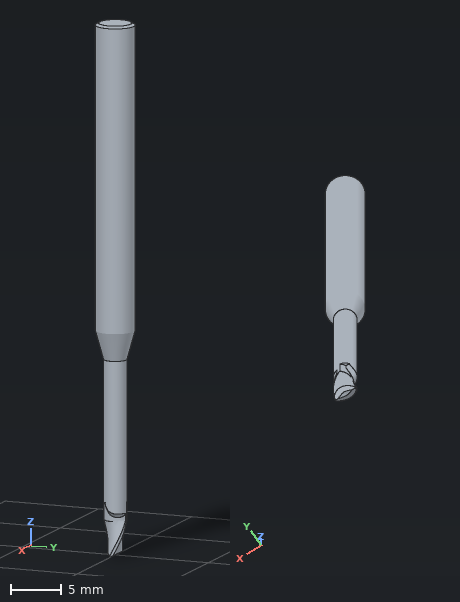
import cadquery as cq
import math

TOTAL_LENGTH = 54
SHANK_DIAMETER = 4.0
NECK_DIAMETER = 2.4
SHANK_RADIUS = SHANK_DIAMETER / 2
NECK_RADIUS = NECK_DIAMETER / 2

CONE_BOTTOM = 19.85
CONE_TOP = 22.8
CHAMFER_HEIGHT = 0.2
CHAMFER_WIDTH = 0.3

BLADE_THICKNESS = 1.45
LAND_WIDTH = 0.3
HALF_THICKNESS = BLADE_THICKNESS / 2
HALF_LAND = LAND_WIDTH / 2
LAND_REACH = math.sqrt(NECK_RADIUS**2 - HALF_LAND**2)
HELIX_HEIGHT = 3.6
HELIX_TWIST = 90
WEB_OVERLAP = 0.1
WEB_BOTTOM = HELIX_HEIGHT - WEB_OVERLAP

RUNOUT_START = 4.0
RUNOUT_END = 5.4
RUNOUT_ANGLE = 45
RUNOUT_RADIUS = 0.95
RUNOUT_OFFSET = 0.25
END_RELIEF_HEIGHT = 0.65
DISH_DEPTH = 0.15
DISH_RADIUS = 0.85


def make_shank():
    """Chamfered cylindrical shank with a cone down to the neck."""
    return (
        cq.Workplane("XZ")
        .moveTo(0, CONE_BOTTOM)
        .lineTo(NECK_RADIUS, CONE_BOTTOM)
        .lineTo(SHANK_RADIUS, CONE_TOP)
        .lineTo(SHANK_RADIUS, TOTAL_LENGTH - CHAMFER_HEIGHT)
        .lineTo(SHANK_RADIUS - CHAMFER_WIDTH, TOTAL_LENGTH)
        .lineTo(0, TOTAL_LENGTH)
        .close()
        .revolve(360, (0, 0), (0, 1))
    )


def make_helix():
    """Lens-shaped blade section, long along X, twisted a quarter turn about Z."""
    return (
        cq.Workplane("XY")
        .moveTo(-LAND_REACH, -HALF_LAND)
        .threePointArc((0, -HALF_THICKNESS), (LAND_REACH, -HALF_LAND))
        .threePointArc((NECK_RADIUS, 0), (LAND_REACH, HALF_LAND))
        .threePointArc((0, HALF_THICKNESS), (-LAND_REACH, HALF_LAND))
        .threePointArc((-NECK_RADIUS, 0), (-LAND_REACH, -HALF_LAND))
        .close()
        .twistExtrude(HELIX_HEIGHT, HELIX_TWIST)
    )


def make_tongue():
    """Sloping bar on the +X side, rounded below, that closes the flute toward the neck."""
    slope = math.radians(RUNOUT_ANGLE)
    direction = cq.Vector(math.cos(slope), 0, math.sin(slope))
    inward_normal = cq.Vector(-math.sin(slope), 0, math.cos(slope))
    underside_start = cq.Vector(HALF_THICKNESS, RUNOUT_OFFSET, RUNOUT_START)
    reach = 2 * NECK_DIAMETER
    origin = underside_start + inward_normal * RUNOUT_RADIUS - direction * reach
    plane = cq.Plane(origin=origin, xDir=(0, 1, 0), normal=direction)
    return (
        cq.Workplane(plane)
        .moveTo(-RUNOUT_RADIUS, reach)
        .lineTo(-RUNOUT_RADIUS, 0)
        .threePointArc((0, -RUNOUT_RADIUS), (RUNOUT_RADIUS, 0))
        .lineTo(RUNOUT_RADIUS, reach)
        .close()
        .extrude(2 * reach)
    )


def make_flute_end():
    """Pocket on the +X side that ends a flute: straight beside the web, then run out by the tongue."""
    pocket = (
        cq.Workplane("XY", origin=(0, 0, WEB_BOTTOM))
        .moveTo(HALF_LAND, -LAND_REACH)
        .threePointArc((HALF_THICKNESS, 0), (HALF_LAND, LAND_REACH))
        .lineTo(HALF_LAND, NECK_DIAMETER)
        .lineTo(NECK_DIAMETER, NECK_DIAMETER)
        .lineTo(NECK_DIAMETER, -NECK_DIAMETER)
        .lineTo(HALF_LAND, -NECK_DIAMETER)
        .close()
        .extrude(RUNOUT_END - WEB_BOTTOM)
    )
    return pocket.cut(make_tongue())


def make_end_relief():
    """Two wedges that slope the end face up from a ridge along X."""
    return (
        cq.Workplane("YZ")
        .polyline([(0, 0), (NECK_RADIUS, END_RELIEF_HEIGHT), (NECK_RADIUS, 0)])
        .close()
        .extrude(NECK_RADIUS, both=True)
    )


def make_cutter():
    """Neck and fluted cutting end as one solid."""
    cutter = (
        cq.Workplane("XY", origin=(0, 0, WEB_BOTTOM))
        .circle(NECK_RADIUS)
        .extrude(CONE_BOTTOM - WEB_BOTTOM)
    )
    flute_end = make_flute_end()
    for angle in (0, 180):
        cutter = cutter.cut(flute_end.rotate((0, 0, 0), (0, 0, 1), angle))
    cutter = cutter.union(make_helix())
    relief = make_end_relief()
    dish = cq.Workplane("XY").add(cq.Solid.makeCone(DISH_RADIUS, 0, DISH_DEPTH))
    return cutter.cut(relief).cut(relief.mirror("XZ")).cut(dish)


shank = make_shank()
cutter = make_cutter()
result = cq.Compound.makeCompound([shank.val(), *cutter.solids().vals()])